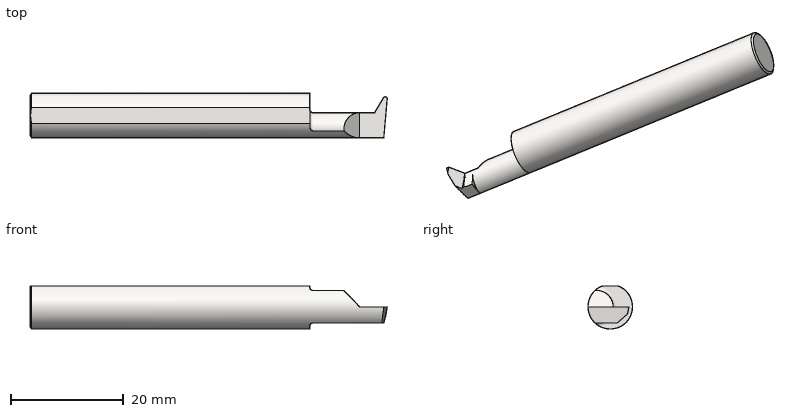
import cadquery as cq
import math

shank_diameter = 7.9375
shank_radius = shank_diameter / 2
overall_length = 63.46
shank_length = 49.7
height_over_flat = 7.68
flat_height = height_over_flat - shank_radius
end_chamfer_axial = 0.25
end_chamfer_radial = 0.38

neck_radius = 2.9
neck_inner_y = 0.5
neck_center_y = neck_inner_y - neck_radius
neck_root_radius = 0.6

rake_face_z = 0.0
ramp_end_x = shank_length + 8.85
ramp_angle = 46.0

neck_end_x = overall_length - 1.5
head_start_x = ramp_end_x + 1.0

tooth_reach_y = 3.33
tooth_tip_radius = 0.37
tooth_flank_angle = 31.0
front_edge_angle = 5.0
relief_angle = 9.0
flank_relief_angle = 20.0


def make_shank():
    """Round bar, chamfered at the back end and flattened on top."""
    chamfer_start_radius = shank_radius - end_chamfer_radial
    bar = (
        cq.Workplane("XY")
        .polyline([
            (0, 0),
            (0, chamfer_start_radius),
            (end_chamfer_axial, shank_radius),
            (shank_length, shank_radius),
            (shank_length, 0),
        ])
        .close()
        .revolve(360, (0, 0, 0), (1, 0, 0))
    )
    above_flat = cq.Workplane("XY").box(
        shank_length, shank_diameter, shank_radius, centered=(False, True, False)
    ).translate((0, 0, flat_height))
    return bar.cut(above_flat)


def make_bar_envelope():
    """Full round bar that bounds the neck and the head."""
    return cq.Workplane("YZ").circle(shank_radius).extrude(overall_length)


def make_neck():
    """Eccentric cylinder ahead of the shank, flared into it by a concave fillet."""
    flare_radius = neck_radius + neck_root_radius
    arc_mid_offset = neck_root_radius * (1 - math.sqrt(0.5))
    return (
        cq.Workplane("XY")
        .moveTo(shank_length, neck_center_y)
        .lineTo(shank_length, neck_center_y + flare_radius)
        .threePointArc(
            (shank_length + arc_mid_offset, neck_inner_y + arc_mid_offset),
            (shank_length + neck_root_radius, neck_inner_y),
        )
        .lineTo(neck_end_x, neck_inner_y)
        .lineTo(neck_end_x, neck_center_y)
        .close()
        .revolve(360, (0, neck_center_y, 0), (1, neck_center_y, 0))
    )


def make_ramp_cutter():
    """Space above the rake face, closed at the back by the sloping ramp."""
    ramp_run = shank_radius / math.tan(math.radians(ramp_angle))
    return (
        cq.Workplane("XZ")
        .polyline([
            (ramp_end_x, rake_face_z),
            (ramp_end_x - ramp_run, rake_face_z + shank_radius),
            (overall_length, rake_face_z + shank_radius),
            (overall_length, rake_face_z),
        ])
        .close()
        .extrude(shank_diameter, both=True)
    )


def make_head():
    """Head and rounded tooth, drawn in below the rake face for clearance all round."""
    flank = math.radians(tooth_flank_angle)
    front = math.radians(front_edge_angle)
    tip_center_x = overall_length - tooth_tip_radius
    tip_center_y = tooth_reach_y - tooth_tip_radius

    def tip_point(angle):
        return (
            tip_center_x + tooth_tip_radius * math.cos(angle),
            tip_center_y + tooth_tip_radius * math.sin(angle),
        )

    flank_x, flank_y = tip_point(math.pi - flank)
    front_x, front_y = tip_point(-front)
    tooth_root_x = flank_x - (flank_y - neck_inner_y) * math.tan(flank)
    outer_y = -shank_diameter
    front_outer_x = front_x - (front_y - outer_y) * math.tan(front)
    head = (
        cq.Workplane("XY")
        .workplane(offset=rake_face_z)
        .moveTo(head_start_x, outer_y)
        .lineTo(head_start_x, neck_inner_y)
        .lineTo(tooth_root_x, neck_inner_y)
        .lineTo(flank_x, flank_y)
        .threePointArc(tip_point(math.pi / 2), (front_x, front_y))
        .lineTo(front_outer_x, outer_y)
        .close()
        .extrude(-neck_radius, taper=relief_angle)
    )

    flank_length = (tooth_reach_y - neck_inner_y) / math.cos(flank)
    relief_inset = neck_radius * math.tan(math.radians(flank_relief_angle))
    flank_plane = cq.Plane(
        origin=(tooth_root_x, neck_inner_y, rake_face_z),
        xDir=(math.cos(flank), -math.sin(flank), 0),
        normal=(math.sin(flank), math.cos(flank), 0),
    )
    flank_wedge = (
        cq.Workplane(flank_plane)
        .polyline([(0, 0), (relief_inset, neck_radius), (0, neck_radius)])
        .close()
        .extrude(flank_length)
    )
    return head.cut(flank_wedge)


neck_and_head = make_neck().cut(make_ramp_cutter()).union(make_head())
result = make_shank().union(neck_and_head.intersect(make_bar_envelope()))